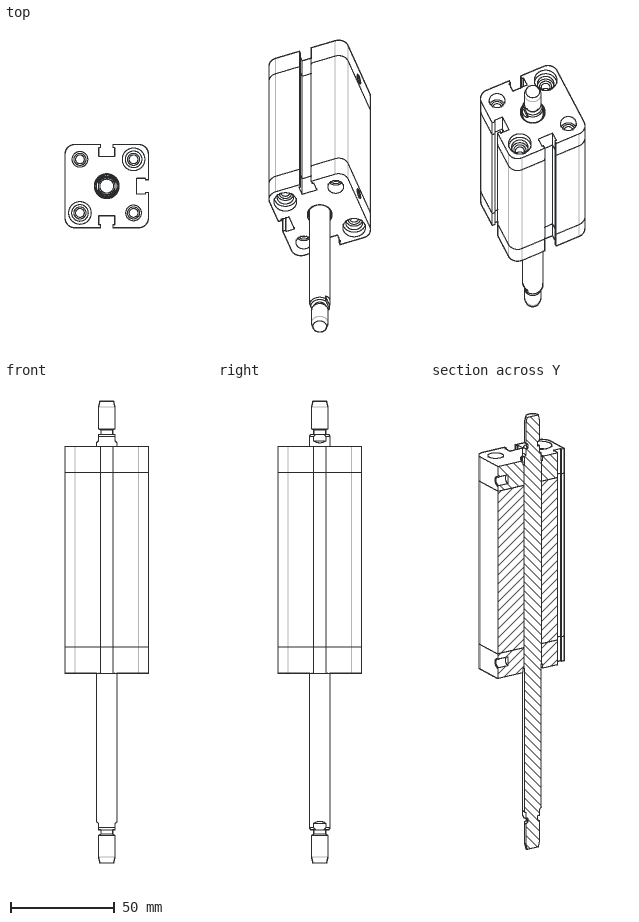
import cadquery as cq

LENGTH = 223.0
WIDTH = 40.4
CORNER_RADIUS = 5.0

CAP_HEIGHT = 12.7
CAP_BOTTOM = -19.8
CAP_TOP = 89.6
BARREL_BOTTOM = CAP_BOTTOM + CAP_HEIGHT
BARREL_HEIGHT = CAP_TOP - CAP_BOTTOM - 2 * CAP_HEIGHT
MID_HEIGHT = (CAP_TOP + CAP_BOTTOM) / 2

SLOT_MOUTH = 6.0
SLOT_INNER = 7.5
SLOT_LIP = 1.5
SLOT_DEPTH = 5.8

HOLE_OFFSET = 13.0
HOLE_DIAMETER = 7.5
HOLE_DEPTH = 6.7
THREAD_MOUTH = 5.8
THREAD_CORE = 4.2
CENTRED_HOLE_DIAMETER = 8.0
CENTRING_DIAMETER = 11.0
CENTRING_DEPTH = 3.8

PORT_FROM_END = 7.8
PORT_DIAMETER = 4.2
PORT_MOUTH = 5.0
PORT_DEPTH = 5.8

ROD_DIAMETER = 10.0
RECESS_DIAMETER = 11.2
RECESS_MOUTH = 12.0
RECESS_DEPTH = 2.2
ROD_SHOULDER = 95.5
ROD_CHAMFER_RADIAL = 0.55
ROD_CHAMFER_LENGTH = 1.1
NECK_DIAMETER = 5.8
THREAD_START = 97.5
THREAD_DIAMETER = 8.0
THREAD_TIP = 6.7
THREAD_LEAD = 0.7
TIP_CHAMFER_LENGTH = 3.0
FLATS_WIDTH = 8.0
FLATS_END = 92.3


def cone(bottom_diameter, top_diameter, height, bottom):
    """Solid cone frustum on the Z axis."""
    solid = cq.Solid.makeCone(bottom_diameter / 2, top_diameter / 2, height)
    return cq.Workplane(solid.translate(cq.Vector(0, 0, bottom)))


def cylinder(diameter, bottom, height):
    """Solid cylinder on the Z axis."""
    return cq.Workplane().workplane(offset=bottom).circle(diameter / 2).extrude(height)


def t_slot(bottom, height):
    """T-slot cutter opening through the +X side."""
    floor = WIDTH / 2 - SLOT_DEPTH
    inner_length = SLOT_DEPTH - SLOT_LIP
    base = cq.Workplane().workplane(offset=bottom)
    inner = base.center(floor + inner_length / 2, 0).rect(inner_length, SLOT_INNER).extrude(height)
    mouth = base.center(floor + SLOT_DEPTH / 2, 0).rect(SLOT_DEPTH, SLOT_MOUTH).extrude(height)
    return inner.union(mouth)


def profile_block(bottom, height):
    """Rounded square block with the three T-slots and the rod bore."""
    block = cq.Workplane().workplane(offset=bottom).rect(WIDTH, WIDTH).extrude(height)
    block = block.edges("|Z").fillet(CORNER_RADIUS)
    slot = t_slot(bottom, height)
    for angle in (-90, 0, 90):
        block = block.cut(slot.rotate((0, 0, 0), (0, 0, 1), angle))
    return block.cut(cylinder(ROD_DIAMETER, bottom, height))


def mounting_hole(centred):
    """Stepped cutter for one mounting hole, on the Z axis; a centred one has a wide counterbore."""
    floor = CAP_TOP - HOLE_DEPTH
    lead = (THREAD_MOUTH - THREAD_CORE) / 2
    diameter = CENTRED_HOLE_DIAMETER if centred else HOLE_DIAMETER
    hole = cylinder(diameter, floor, HOLE_DEPTH)
    hole = hole.union(cone(THREAD_CORE, THREAD_MOUTH, lead, floor - lead))
    hole = hole.union(cylinder(THREAD_CORE, CAP_TOP - CAP_HEIGHT, CAP_HEIGHT))
    if centred:
        hole = hole.union(cylinder(CENTRING_DIAMETER, CAP_TOP - CENTRING_DEPTH, CENTRING_DEPTH))
    return hole


def air_port():
    """Cutter for the chamfered blind port in the -X side of the upper cap."""
    lead = (PORT_MOUTH - PORT_DIAMETER) / 2
    face = cq.Workplane("YZ", origin=(-WIDTH / 2, 0, CAP_TOP - PORT_FROM_END))
    port = face.circle(PORT_DIAMETER / 2).extrude(PORT_DEPTH)
    mouth = face.circle(PORT_MOUTH / 2).workplane(offset=lead).circle(PORT_DIAMETER / 2).loft()
    return port.union(mouth)


def upper_cap():
    """End cap with corner holes, a rod recess and an air port."""
    cap = profile_block(CAP_TOP - CAP_HEIGHT, CAP_HEIGHT)
    for x_side in (-1, 1):
        for y_side in (-1, 1):
            hole = mounting_hole(centred=x_side == y_side)
            cap = cap.cut(hole.translate((x_side * HOLE_OFFSET, y_side * HOLE_OFFSET, 0)))

    rim = (RECESS_MOUTH - RECESS_DIAMETER) / 2
    cap = cap.cut(cylinder(RECESS_DIAMETER, CAP_TOP - RECESS_DEPTH, RECESS_DEPTH))
    cap = cap.cut(cone(RECESS_DIAMETER, RECESS_MOUTH, rim, CAP_TOP - rim))

    return cap.cut(air_port())


def rod_flat():
    """Cutter for the upper rod flat on the +X side, ending in a shoulder that slopes out at 45 degrees."""
    inner = FLATS_WIDTH / 2
    outer = ROD_DIAMETER
    return (
        cq.Workplane("XZ")
        .moveTo(inner, FLATS_END)
        .lineTo(inner, ROD_SHOULDER)
        .lineTo(outer, ROD_SHOULDER)
        .lineTo(outer, FLATS_END - (outer - inner))
        .close()
        .extrude(ROD_DIAMETER / 2, both=True)
    )


def piston_rod():
    """Rod running right through the cylinder, with the same threaded stud at both ends."""
    half = (
        cq.Workplane("XZ")
        .lineTo(ROD_DIAMETER / 2, 0)
        .lineTo(ROD_DIAMETER / 2, ROD_SHOULDER - ROD_CHAMFER_LENGTH)
        .lineTo(ROD_DIAMETER / 2 - ROD_CHAMFER_RADIAL, ROD_SHOULDER)
        .lineTo(NECK_DIAMETER / 2, ROD_SHOULDER)
        .lineTo(NECK_DIAMETER / 2, THREAD_START)
        .lineTo(THREAD_DIAMETER / 2, THREAD_START + THREAD_LEAD)
        .lineTo(THREAD_DIAMETER / 2, LENGTH / 2 - TIP_CHAMFER_LENGTH)
        .lineTo(THREAD_TIP / 2, LENGTH / 2)
        .lineTo(0, LENGTH / 2)
        .close()
        .revolve(360, (0, 0, 0), (0, 1, 0))
    )
    flat = rod_flat()
    half = half.cut(flat).cut(flat.mirror("YZ"))
    return half.union(half.mirror("XY"))


barrel = profile_block(BARREL_BOTTOM, BARREL_HEIGHT)
top_cap = upper_cap()
bottom_cap = top_cap.mirror("XY", (0, 0, MID_HEIGHT))
rod = piston_rod()

result = cq.Compound.makeCompound([barrel.val(), top_cap.val(), bottom_cap.val(), rod.val()])